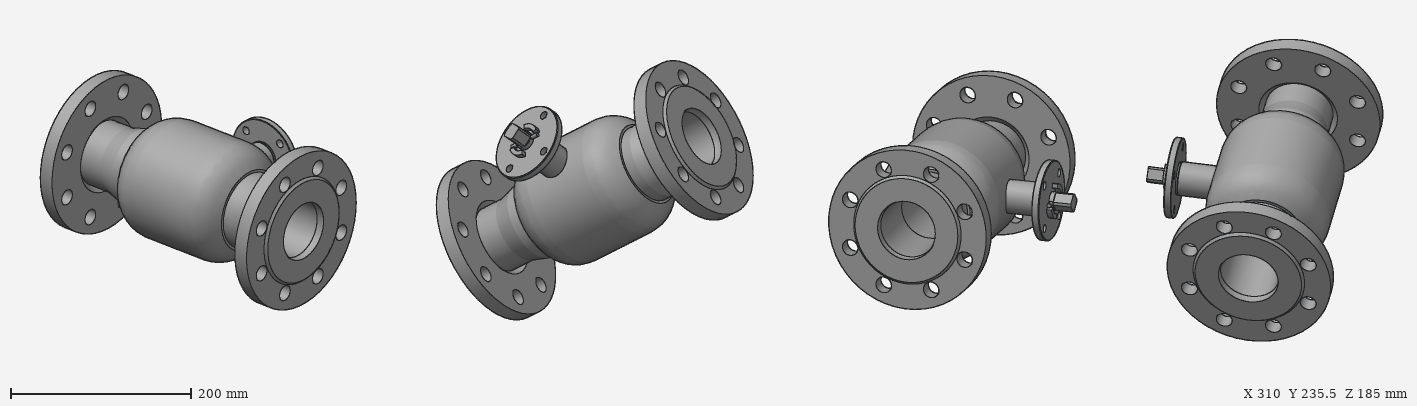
import cadquery as cq
import math


END_FACE_X = 155.0
FLANGE_FRONT_X = 152.0
FLANGE_BACK_X = 134.5
SMALL_PIPE_X = 110.7
LARGE_PIPE_X = 89.0
HOUSING_END_X = 75.5
HOUSING_BARREL_X = 40.3

FLANGE_RADIUS = 92.5
RAISED_FACE_RADIUS = 60.0
RAISED_FACE_ROOT_RADIUS = 63.0
BOLT_COUNT = 8
BOLT_CIRCLE_RADIUS = 72.5
BOLT_HOLE_DIAMETER = 18.0
MOUTH_RADIUS = 33.8
MOUTH_DEPTH = 4.5
SOCKET_DEPTH = 9.0
WELD_CHAMFER = 6.2

BORE_RADIUS = 33.0
LEAD_IN_RADIUS = 33.2
LEAD_IN_END_X = 135.2
SMALL_PIPE_RADIUS = 38.0
LARGE_PIPE_RADIUS = 44.3
HOUSING_RADIUS = 69.8
HOUSING_END_RADIUS = 47.5

NECK_SEAT_Y = 65.0
NECK_SHOULDER_Y = 107.3
PLATE_BOTTOM_Y = 108.8
SPIGOT_TOP_Y = 111.5
PLATE_TOP_Y = 117.2
PIN_Y = 120.0
SQUARE_BOTTOM_Y = 122.5
STOP_TOP_Y = 123.5
STEM_TOP_Y = 143.0

NECK_RADIUS = 19.0
NECK_CHAMFER = 1.0
NECK_SPIGOT_RADIUS = 17.5
PLATE_RADIUS = 45.0
PLATE_TOP_CHAMFER = 1.0
PLATE_BOTTOM_CHAMFER = 0.5
PLATE_COUNTERSINK_DEPTH = 1.2
PLATE_HOLE_SPACING = 49.5
PLATE_HOLE_DIAMETER = 9.3
STOP_INNER_RADIUS = 14.3
STOP_OUTER_RADIUS = 19.5
STOP_START_ANGLE = 14.0
STOP_END_ANGLE = 85.0
STEM_RADIUS = 10.2
STEM_SQUARE = 16.7
PIN_RADIUS = 2.5
PIN_LENGTH = 36.5


def cylinder_along_y(radius, bottom_y, top_y):
    """Solid cylinder on the stem axis."""
    return cq.Workplane("XZ", origin=(0, bottom_y, 0)).circle(radius).extrude(bottom_y - top_y)


def revolve_about_x(points):
    """Turn a closed (x, radius) outline about the flow axis."""
    return cq.Workplane("XY").polyline(points).close().revolve(360, (0, 0, 0), (1, 0, 0))


def make_flange():
    """Flange on the +X end: tapered raised face, bolt holes, bore mouth, pipe socket, weld chamfer."""
    socket_x = END_FACE_X - SOCKET_DEPTH
    flange = revolve_about_x([
        (END_FACE_X, MOUTH_RADIUS),
        (END_FACE_X, RAISED_FACE_RADIUS),
        (FLANGE_FRONT_X, RAISED_FACE_ROOT_RADIUS),
        (FLANGE_FRONT_X, FLANGE_RADIUS),
        (FLANGE_BACK_X, FLANGE_RADIUS),
        (FLANGE_BACK_X, SMALL_PIPE_RADIUS + WELD_CHAMFER),
        (FLANGE_BACK_X + WELD_CHAMFER, SMALL_PIPE_RADIUS),
        (socket_x, SMALL_PIPE_RADIUS),
        (socket_x, LEAD_IN_RADIUS),
        (END_FACE_X - MOUTH_DEPTH, MOUTH_RADIUS),
    ])
    bolt_holes = (
        cq.Workplane("YZ", origin=(FLANGE_BACK_X, 0, 0))
        .polarArray(BOLT_CIRCLE_RADIUS, 180 / BOLT_COUNT, 360, BOLT_COUNT)
        .circle(BOLT_HOLE_DIAMETER / 2)
        .extrude(END_FACE_X - FLANGE_BACK_X)
    )
    return flange.cut(bolt_holes)


def make_pipe():
    """Reducing pipe on the +X side, from the housing end into the flange socket."""
    socket_x = END_FACE_X - SOCKET_DEPTH
    return revolve_about_x([
        (HOUSING_END_X, BORE_RADIUS),
        (HOUSING_END_X, LARGE_PIPE_RADIUS),
        (LARGE_PIPE_X, LARGE_PIPE_RADIUS),
        (SMALL_PIPE_X, SMALL_PIPE_RADIUS),
        (socket_x, SMALL_PIPE_RADIUS),
        (socket_x, LEAD_IN_RADIUS),
        (LEAD_IN_END_X, BORE_RADIUS),
    ])


def make_housing():
    """Barrel with domed ends, a through bore and a flat-bottomed seat for the neck."""
    dome_length = HOUSING_END_X - HOUSING_BARREL_X
    dome_drop = HOUSING_RADIUS - HOUSING_END_RADIUS
    dome_radius = (dome_length**2 + dome_drop**2) / (2 * dome_drop)
    half_angle = math.asin(dome_length / dome_radius) / 2
    dome_mid_x = HOUSING_BARREL_X + dome_radius * math.sin(half_angle)
    dome_mid_radius = HOUSING_RADIUS - dome_radius * (1 - math.cos(half_angle))
    housing = (
        cq.Workplane("XY")
        .moveTo(-HOUSING_END_X, BORE_RADIUS)
        .lineTo(-HOUSING_END_X, HOUSING_END_RADIUS)
        .threePointArc((-dome_mid_x, dome_mid_radius), (-HOUSING_BARREL_X, HOUSING_RADIUS))
        .lineTo(HOUSING_BARREL_X, HOUSING_RADIUS)
        .threePointArc((dome_mid_x, dome_mid_radius), (HOUSING_END_X, HOUSING_END_RADIUS))
        .lineTo(HOUSING_END_X, BORE_RADIUS)
        .close()
        .revolve(360, (0, 0, 0), (1, 0, 0))
    )
    return housing.cut(cylinder_along_y(NECK_RADIUS, NECK_SEAT_Y, HOUSING_RADIUS))


def make_neck():
    """Stem tube standing in the housing seat, with a reduced spigot let into the plate."""
    tube = cylinder_along_y(NECK_RADIUS, NECK_SEAT_Y, NECK_SHOULDER_Y).faces(">Y").chamfer(NECK_CHAMFER)
    spigot = cylinder_along_y(NECK_SPIGOT_RADIUS, NECK_SHOULDER_Y, SPIGOT_TOP_Y)
    return tube.union(spigot).cut(cylinder_along_y(STEM_RADIUS, NECK_SEAT_Y, SPIGOT_TOP_Y))


def make_stop():
    """Ring sector on top of the plate, in the -X +Z quarter; angles rise from -X to +Z."""
    def on_ring(radius, angle):
        return (-radius * math.cos(math.radians(angle)), radius * math.sin(math.radians(angle)))

    middle_angle = (STOP_START_ANGLE + STOP_END_ANGLE) / 2
    return (
        cq.Workplane("XZ", origin=(0, PLATE_TOP_Y, 0))
        .moveTo(*on_ring(STOP_INNER_RADIUS, STOP_START_ANGLE))
        .lineTo(*on_ring(STOP_OUTER_RADIUS, STOP_START_ANGLE))
        .threePointArc(on_ring(STOP_OUTER_RADIUS, middle_angle), on_ring(STOP_OUTER_RADIUS, STOP_END_ANGLE))
        .lineTo(*on_ring(STOP_INNER_RADIUS, STOP_END_ANGLE))
        .threePointArc(on_ring(STOP_INNER_RADIUS, middle_angle), on_ring(STOP_INNER_RADIUS, STOP_START_ANGLE))
        .close()
        .extrude(PLATE_TOP_Y - STOP_TOP_Y)
    )


def make_mounting_plate():
    """Actuator plate with four holes and two opposite stops for the pin."""
    plate = cylinder_along_y(PLATE_RADIUS, PLATE_BOTTOM_Y, PLATE_TOP_Y)
    plate = plate.faces(">Y").chamfer(PLATE_TOP_CHAMFER).faces("<Y").chamfer(PLATE_BOTTOM_CHAMFER)
    countersink = cq.Solid.makeCone(
        NECK_RADIUS,
        NECK_SPIGOT_RADIUS,
        PLATE_COUNTERSINK_DEPTH,
        pnt=cq.Vector(0, PLATE_BOTTOM_Y, 0),
        dir=cq.Vector(0, 1, 0),
    )
    holes = (
        cq.Workplane("XZ", origin=(0, PLATE_BOTTOM_Y, 0))
        .rect(PLATE_HOLE_SPACING, PLATE_HOLE_SPACING, forConstruction=True)
        .vertices()
        .circle(PLATE_HOLE_DIAMETER / 2)
        .extrude(PLATE_BOTTOM_Y - PLATE_TOP_Y)
    )
    spigot_socket = cylinder_along_y(NECK_SPIGOT_RADIUS, PLATE_BOTTOM_Y, SPIGOT_TOP_Y)
    stem_hole = cylinder_along_y(STEM_RADIUS, PLATE_BOTTOM_Y, PLATE_TOP_Y)
    plate = plate.cut(holes).cut(cq.Workplane(countersink)).cut(spigot_socket).cut(stem_hole)
    stop = make_stop()
    opposite_stop = stop.rotate((0, 0, 0), (0, 1, 0), 180)
    return plate.union(stop).union(opposite_stop)


def make_pin():
    """Stop pin lying along X through the stem."""
    return cq.Workplane("YZ", origin=(0, PIN_Y, 0)).circle(PIN_RADIUS).extrude(PIN_LENGTH / 2, both=True)


def make_stem():
    """Round stem with a corner-forward square drive end and a cross hole for the pin."""
    shaft = cylinder_along_y(STEM_RADIUS, NECK_SEAT_Y, SQUARE_BOTTOM_Y)
    square = (
        cq.Workplane("XZ", origin=(0, SQUARE_BOTTOM_Y, 0))
        .rect(STEM_SQUARE, STEM_SQUARE)
        .extrude(SQUARE_BOTTOM_Y - STEM_TOP_Y)
        .rotate((0, 0, 0), (0, 1, 0), 45)
        .intersect(cylinder_along_y(STEM_RADIUS, SQUARE_BOTTOM_Y, STEM_TOP_Y))
    )
    return shaft.union(square).cut(make_pin())


housing = make_housing()
neck = make_neck()
mounting_plate = make_mounting_plate()
stem = make_stem()
pin = make_pin()

flanges = []
pipes = []
for turn in (0, 180):
    flanges.append(make_flange().rotate((0, 0, 0), (0, 0, 1), turn).val())
    pipes.append(make_pipe().rotate((0, 0, 0), (0, 0, 1), turn).val())

result = cq.Compound.makeCompound([
    housing.val(),
    neck.val(),
    mounting_plate.val(),
    stem.val(),
    pin.val(),
    *flanges,
    *pipes,
])